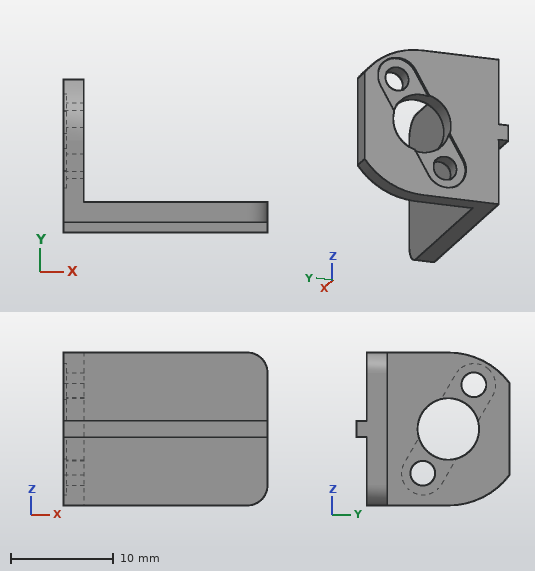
import cadquery as cq
import math

length = 20.0
height = 15.0
depth = 15.0
thickness = 2.0

rib_height = 1.0
rib_width = 1.6

corner_radius = 2.0

shaft_diameter = 6.0
shaft_to_plate = 6.0
screw_diameter = 2.4
screw_circle_radius = 5.0
screw_angle = 60.0
recess_width = 4.2
recess_depth = 0.3

flange_reach = depth - rib_height
round_radius = height / 2
shaft_y = thickness + shaft_to_plate


def long_plate():
    plate = cq.Workplane("XY").box(length, thickness, height, centered=(False, False, True))
    return plate.edges("|Y and >X").fillet(corner_radius)


def flange():
    """Plate with a round end about the shaft axis, cut off flat at its tip."""
    half_flat = math.sqrt(round_radius**2 - (flange_reach - shaft_y) ** 2)
    half_angle = math.atan2(half_flat, flange_reach - shaft_y)
    mid_angle = (math.pi / 2 + half_angle) / 2
    mid_y = shaft_y + round_radius * math.cos(mid_angle)
    mid_z = round_radius * math.sin(mid_angle)
    return (
        cq.Workplane("YZ")
        .moveTo(0, -round_radius)
        .lineTo(shaft_y, -round_radius)
        .threePointArc((mid_y, -mid_z), (flange_reach, -half_flat))
        .lineTo(flange_reach, half_flat)
        .threePointArc((mid_y, mid_z), (shaft_y, round_radius))
        .lineTo(0, round_radius)
        .close()
        .extrude(thickness)
    )


def rib():
    return (
        cq.Workplane("XY")
        .box(length, rib_height, rib_width, centered=(False, False, True))
        .translate((0, -rib_height, 0))
    )


def flange_plane():
    """Sketch plane on the outer flange face, centred on the shaft axis."""
    return cq.Workplane("YZ", origin=(0, shaft_y, 0))


def shaft_hole():
    return flange_plane().circle(shaft_diameter / 2).extrude(thickness)


def screw_holes():
    line_angle = math.radians(screw_angle)
    offset_y = screw_circle_radius * math.cos(line_angle)
    offset_z = screw_circle_radius * math.sin(line_angle)
    centres = [(offset_y, offset_z), (-offset_y, -offset_z)]
    return flange_plane().pushPoints(centres).circle(screw_diameter / 2).extrude(thickness)


def recess():
    """Shallow round-ended pocket concentric with both screw holes."""
    recess_length = 2 * screw_circle_radius + recess_width
    return flange_plane().slot2D(recess_length, recess_width, screw_angle).extrude(recess_depth)


bracket = long_plate().union(flange()).union(rib())
result = bracket.cut(shaft_hole()).cut(screw_holes()).cut(recess())